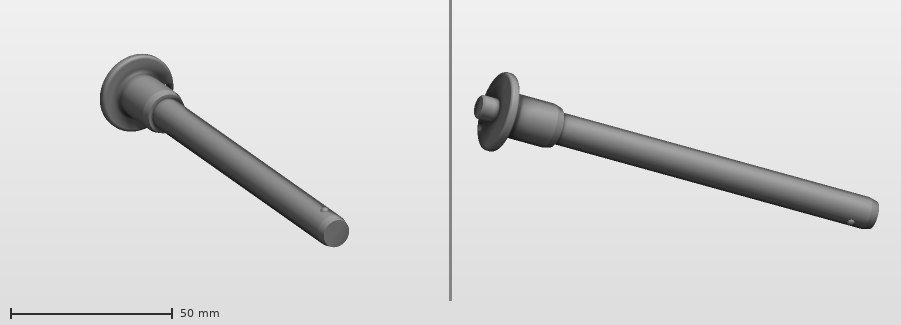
import cadquery as cq

total_length = 135.5

button_radius = 3.8
button_length = 5.4
button_edge = 0.5

flange_radius = 25.0 / 2
flange_thickness = 3.0
flange_rounding = 1.0
flange_end = button_length + flange_thickness
lanyard_hole_radius = 1.5
lanyard_hole_offset = 9.8

collar_radius = 7.0
collar_root_fillet = 1.2
collar_end = 26.3
collar_taper_length = 2.5
collar_tip_radius = 6.4

shank_radius = 10.2 / 2
tip_taper_length = 2.7
tip_radius = 4.5

ball_radius = 1.4
ball_position = 127.9
ball_protrusion = 0.88
ball_center_height = shank_radius + ball_protrusion - ball_radius


def rod(radius, start, end):
    """Round rod around the X axis."""
    return cq.Workplane("YZ", origin=(start, 0, 0)).circle(radius).extrude(end - start)


def make_button():
    return rod(button_radius, 0, button_length).faces("<X").chamfer(button_edge)


def make_flange():
    disc = rod(flange_radius, button_length, flange_end).edges().fillet(flange_rounding)
    lanyard_hole = rod(lanyard_hole_radius, button_length, flange_end)
    return disc.cut(lanyard_hole.translate((0, lanyard_hole_offset, 0)))


def make_collar():
    """Collar with a concave fillet at the flange and a taper at the shank."""
    root = (flange_end, collar_radius + collar_root_fillet)
    profile = (
        cq.Workplane("XY")
        .moveTo(flange_end, 0)
        .lineTo(*root)
        .radiusArc((flange_end + collar_root_fillet, collar_radius), -collar_root_fillet)
        .lineTo(collar_end - collar_taper_length, collar_radius)
        .lineTo(collar_end, collar_tip_radius)
        .lineTo(collar_end, 0)
        .close()
    )
    return profile.revolve(360, (0, 0, 0), (1, 0, 0))


def make_shank():
    shank = rod(shank_radius, collar_end, total_length)
    return shank.faces(">X").chamfer(tip_taper_length, shank_radius - tip_radius)


def make_ball(side):
    """Locking ball above (side = 1) or below (side = -1) the pin axis."""
    return cq.Workplane("XY").sphere(ball_radius).translate((ball_position, 0, side * ball_center_height))


def make_pin_body(balls):
    """Button, flange, collar and shank in one piece, with a socket for each ball."""
    body = make_button().union(make_flange()).union(make_collar()).union(make_shank())
    for ball in balls:
        body = body.cut(ball)
    return body


locking_balls = [make_ball(side) for side in (1, -1)]
pin_body = make_pin_body(locking_balls)

result = cq.Compound.makeCompound([pin_body.solids().val(), *[ball.val() for ball in locking_balls]])